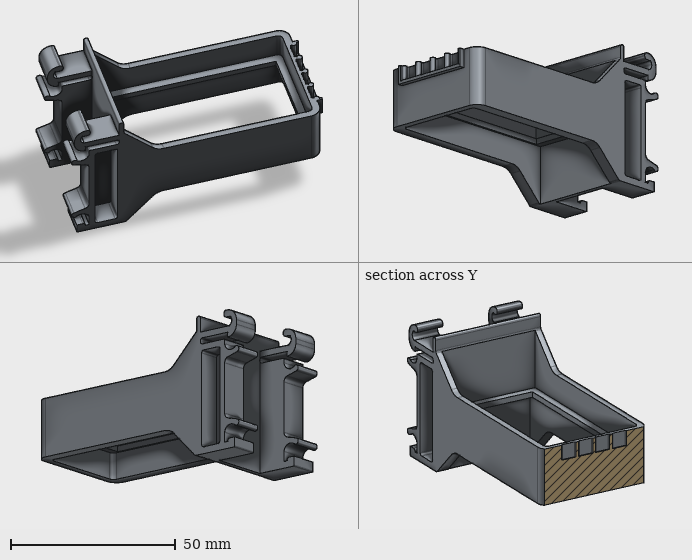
import cadquery as cq
import math

WIDTH = 37.3
HALF_WIDTH = WIDTH / 2
CUT_MARGIN = 1.0

FRAME_REAR = 64.6
FRAME_BOTTOM = 10.0
FRAME_TOP = 28.5
MID_Z = (FRAME_BOTTOM + FRAME_TOP) / 2
FRAME_CORNER_R = 3.5
SIDE_WALL = 2.1
LOWER_SIDE_WALL = 3.9
REAR_WALL = 2.4
RECESS_FRONT = 1.7
RECESS_CORNER_R = 1.5
LEDGE_WIDTH = 2.5
LEDGE_THICKNESS = 1.8

PLATE_THICKNESS = 1.5
PLATE_TOP = 43.7
FLANK_END = 12.1
FLANK_FRAME_R = 5.0
FLANK_PLATE_R = 1.0
FLANK_RISE = FLANK_END - PLATE_THICKNESS
FLANK_TOP = FRAME_TOP + FLANK_RISE
FLANK_FOOT = FLANK_END - FRAME_BOTTOM

LEG_WIDTH = 9.0
LEG_FRONT = -9.5
LEG_TOP = 34.7
LEG_EDGE_R = 0.3
ROOT_OVERLAP = 0.5

SLOT_WIDTH = 1.9
SLOT_END = 0.1
SLOT_CENTRE_Y = SLOT_END - SLOT_WIDTH / 2
ARM_BOTTOM = LEG_TOP + SLOT_WIDTH
ARM_TOP = 38.55
HOOK_EDGE = -10.7
HOOK_FRONT = -14.15
HOOK_LOWER_R = HOOK_EDGE - HOOK_FRONT
HOOK_UPPER_R = 3.7
HOOK_LIP_END = -9.15
HOOK_LIP_THICKNESS = 2.2
HOOK_LIP_R = 1.0
HOOK_BORE_TOP_Y = -11.6
HOOK_BORE_FRONT = -12.25
HOOK_BORE_BOTTOM_Y = -11.1

FINGER_TIP_Y = -14.1
FINGER_TIP_R = 1.0
FINGER_TIP_Z = 30.8
FINGER_SLOPE = math.radians(15)
FINGER_ROOT_R = 1.75
SCOOP_R = 2.2
SCOOP_DEEPEST = 31.0
TIP_CORNER_ANGLE = math.radians(36)

FOOT_FLOOR = 2.2
FOOT_TOP = 3.15
FOOT_FRONT = -13.45
FOOT_STEP_R = 0.8

POCKET_REAR = -0.45
POCKET_FRONT = -7.6
POCKET_BOTTOM = 2.2
POCKET_TOP = 32.7
POCKET_R = 0.8
POCKET_WEB = 1.9

COMB_HALF_WIDTH = 12.9
COMB_REAR = 66.3
COMB_HEIGHT = 5.9
COMB_FLOOR = 1.0
COMB_ROOT = 63.35
COMB_GAP_HALF_WIDTH = 12.1
TOOTH_COUNT = 5
TOOTH_PITCH = 6.0
TOOTH_HEAD_R = 0.85
TOOTH_HEAD_Y = 64.7
TOOTH_NECK = 1.0
TOOTH_ROOT_R = 0.4


def box(x0, x1, y0, y1, z0, z1):
    """Block between two corners."""
    return cq.Workplane("XY").box(x1 - x0, y1 - y0, z1 - z0, centered=False).translate((x0, y0, z0))


def side_extrude(outline, x0, x1):
    """Extrude a closed YZ outline from x0 to x1."""
    return outline.extrude(x1 - x0).translate((x0, 0, 0))


def side_plane():
    return cq.Workplane("YZ")


def near_edges(solid, y, z):
    """Select the X-direction edge that runs through (y, z)."""
    tolerance = 0.01
    corner = (-WIDTH, y - tolerance, z - tolerance)
    opposite = (WIDTH, y + tolerance, z + tolerance)
    return solid.edges("|X").edges(cq.selectors.BoxSelector(corner, opposite))


def body():
    """Plate, flanks and frame as one solid block with its side outline."""
    outline = (
        side_plane()
        .moveTo(0, 0)
        .lineTo(FLANK_FOOT, 0)
        .lineTo(FLANK_END, FRAME_BOTTOM)
        .lineTo(FRAME_REAR, FRAME_BOTTOM)
        .lineTo(FRAME_REAR, FRAME_TOP)
        .lineTo(FLANK_END, FRAME_TOP)
        .lineTo(PLATE_THICKNESS, FLANK_TOP)
        .lineTo(PLATE_THICKNESS, PLATE_TOP - PLATE_THICKNESS / 2)
        .threePointArc((PLATE_THICKNESS / 2, PLATE_TOP), (0, PLATE_TOP - PLATE_THICKNESS / 2))
        .close()
    )
    solid = side_extrude(outline, -HALF_WIDTH, HALF_WIDTH)
    solid = near_edges(solid, FLANK_END, FRAME_BOTTOM).fillet(FLANK_FRAME_R)
    solid = near_edges(solid, FLANK_END, FRAME_TOP).fillet(FLANK_FRAME_R)
    solid = near_edges(solid, PLATE_THICKNESS, FLANK_TOP).fillet(FLANK_PLATE_R)
    solid = near_edges(solid, FLANK_FOOT, 0).fillet(FLANK_PLATE_R)
    return solid.edges("|Z and >Y").fillet(FRAME_CORNER_R)


def frame_opening():
    """Recesses above and below the ledge, and the smaller window through the ledge."""
    half_x = HALF_WIDTH - SIDE_WALL
    lower_half_x = HALF_WIDTH - LOWER_SIDE_WALL
    front = RECESS_FRONT
    rear = FRAME_REAR - REAR_WALL
    ledge_bottom = MID_Z - LEDGE_THICKNESS / 2
    ledge_top = MID_Z + LEDGE_THICKNESS / 2
    lower = box(-lower_half_x, lower_half_x, front, rear, -CUT_MARGIN, ledge_bottom)
    upper = box(-half_x, half_x, front, rear, ledge_top, PLATE_TOP + CUT_MARGIN)
    lower = lower.edges("|Z and >Y").fillet(RECESS_CORNER_R)
    upper = upper.edges("|Z and >Y").fillet(RECESS_CORNER_R)
    window_x = half_x - LEDGE_WIDTH
    window = box(-window_x, window_x, front + LEDGE_WIDTH, rear - LEDGE_WIDTH, ledge_bottom, ledge_top)
    return lower.union(window).union(upper)


def finger(x0, x1):
    """Upper finger, rooted in the leg front."""
    cos_slope = math.cos(FINGER_SLOPE)
    sin_slope = math.sin(FINGER_SLOPE)
    under_y = FINGER_TIP_Y - FINGER_TIP_R * sin_slope
    under_z = FINGER_TIP_Z - FINGER_TIP_R * cos_slope
    root_z = under_z - (LEG_FRONT - under_y) * math.tan(FINGER_SLOPE)
    corner_y = FINGER_TIP_Y + FINGER_TIP_R * math.cos(TIP_CORNER_ANGLE)
    corner_z = FINGER_TIP_Z + FINGER_TIP_R * math.sin(TIP_CORNER_ANGLE)
    inside = LEG_FRONT + ROOT_OVERLAP
    below_root = root_z - 2 * FINGER_ROOT_R
    outline = (
        side_plane()
        .moveTo(inside, SCOOP_DEEPEST + SCOOP_R)
        .lineTo(LEG_FRONT, SCOOP_DEEPEST + SCOOP_R)
        .threePointArc((LEG_FRONT - SCOOP_R, SCOOP_DEEPEST), (corner_y, corner_z))
        .threePointArc((FINGER_TIP_Y - FINGER_TIP_R, FINGER_TIP_Z), (under_y, under_z))
        .lineTo(LEG_FRONT, root_z)
        .lineTo(LEG_FRONT, below_root)
        .lineTo(inside, below_root)
        .close()
    )
    solid = side_extrude(outline, x0, x1)
    return near_edges(solid, LEG_FRONT, root_z).fillet(FINGER_ROOT_R)


def hooked_arm(x0, x1):
    """Spring arm from the plate, ending in a hook that curls back over it."""
    upper_centre_y = HOOK_FRONT + HOOK_UPPER_R
    upper_centre_z = PLATE_TOP - HOOK_UPPER_R
    lip_bottom = PLATE_TOP - HOOK_LIP_THICKNESS
    diagonal = math.sqrt(0.5)
    outline = (
        side_plane()
        .moveTo(ROOT_OVERLAP, ARM_BOTTOM)
        .lineTo(HOOK_EDGE, ARM_BOTTOM)
        .lineTo(HOOK_EDGE, ARM_TOP - HOOK_LOWER_R)
        .threePointArc(
            (HOOK_EDGE - HOOK_LOWER_R * diagonal, ARM_TOP - HOOK_LOWER_R * diagonal),
            (HOOK_FRONT, ARM_TOP),
        )
        .lineTo(HOOK_FRONT, upper_centre_z)
        .threePointArc(
            (upper_centre_y - HOOK_UPPER_R * diagonal, upper_centre_z + HOOK_UPPER_R * diagonal),
            (upper_centre_y, PLATE_TOP),
        )
        .lineTo(HOOK_LIP_END, PLATE_TOP)
        .lineTo(HOOK_LIP_END, lip_bottom)
        .lineTo(HOOK_BORE_TOP_Y, lip_bottom)
        .threePointArc((HOOK_BORE_FRONT, (lip_bottom + ARM_TOP) / 2), (HOOK_BORE_BOTTOM_Y, ARM_TOP))
        .lineTo(ROOT_OVERLAP, ARM_TOP)
        .close()
    )
    solid = side_extrude(outline, x0, x1)
    solid = near_edges(solid, HOOK_LIP_END, PLATE_TOP).fillet(HOOK_LIP_R)
    return near_edges(solid, HOOK_LIP_END, lip_bottom).fillet(HOOK_LIP_R)


def leg_block(x0, x1):
    """Leg with its foot, before fingers and pocket."""
    outline = (
        side_plane()
        .moveTo(ROOT_OVERLAP, 0)
        .lineTo(FOOT_FRONT, 0)
        .lineTo(FOOT_FRONT, FOOT_TOP)
        .lineTo(HOOK_EDGE, FOOT_TOP)
        .lineTo(HOOK_EDGE, FOOT_FLOOR)
        .lineTo(LEG_FRONT, FOOT_FLOOR)
        .lineTo(LEG_FRONT, LEG_TOP)
        .lineTo(ROOT_OVERLAP, LEG_TOP)
        .close()
    )
    solid = side_extrude(outline, x0, x1)
    solid = near_edges(solid, FOOT_FRONT, 0).fillet(LEG_EDGE_R)
    solid = near_edges(solid, LEG_FRONT, LEG_TOP).fillet(LEG_EDGE_R)
    return near_edges(solid, HOOK_EDGE, FOOT_TOP).fillet(FOOT_STEP_R)


def leg():
    """Complete leg on the -X side, with the pocket open to -X."""
    x0 = -HALF_WIDTH
    x1 = x0 + LEG_WIDTH
    upper_finger = finger(x0, x1)
    lower_finger = upper_finger.mirror("XY", (0, 0, MID_Z))
    slot_root = box(x0, x1, SLOT_CENTRE_Y, ROOT_OVERLAP, LEG_TOP, ARM_BOTTOM)
    solid = leg_block(x0, x1).union(slot_root).union(hooked_arm(x0, x1))
    solid = solid.union(upper_finger).union(lower_finger)
    pocket = box(x0 - CUT_MARGIN, x1 - POCKET_WEB, POCKET_FRONT, POCKET_REAR, POCKET_BOTTOM, POCKET_TOP)
    return solid.cut(pocket.edges("|X").fillet(POCKET_R))


def slot_end():
    """Round inner end of the slot between the arm and the leg on the -X side."""
    outline = side_plane().center(SLOT_CENTRE_Y, LEG_TOP + SLOT_WIDTH / 2).circle(SLOT_WIDTH / 2)
    return side_extrude(outline, -HALF_WIDTH, -HALF_WIDTH + LEG_WIDTH)


def tooth(x, bottom, top):
    """Comb tooth: flared root, narrow neck and round head."""
    half_neck = TOOTH_NECK / 2
    neck_start = COMB_ROOT + TOOTH_ROOT_R
    neck_end = TOOTH_HEAD_Y - math.sqrt(TOOTH_HEAD_R**2 - half_neck**2)
    flare = half_neck + TOOTH_ROOT_R
    flare_mid = TOOTH_ROOT_R * (1 - math.sqrt(0.5))
    return (
        cq.Workplane("XY", origin=(x, 0, bottom))
        .moveTo(-flare, COMB_ROOT)
        .threePointArc((-half_neck - flare_mid, COMB_ROOT + flare_mid), (-half_neck, neck_start))
        .lineTo(-half_neck, neck_end)
        .threePointArc((0, TOOTH_HEAD_Y + TOOTH_HEAD_R), (half_neck, neck_end))
        .lineTo(half_neck, neck_start)
        .threePointArc((half_neck + flare_mid, COMB_ROOT + flare_mid), (flare, COMB_ROOT))
        .close()
        .extrude(top - bottom)
    )


def add_comb(solid):
    """Add the comb block, hollow it above its floor, and stand the teeth in the hollow."""
    bottom = FRAME_TOP - COMB_HEIGHT
    floor = bottom + COMB_FLOOR
    inside = FRAME_REAR - REAR_WALL / 2
    solid = solid.union(box(-COMB_HALF_WIDTH, COMB_HALF_WIDTH, inside, COMB_REAR, bottom, FRAME_TOP))
    solid = solid.cut(
        box(
            -COMB_GAP_HALF_WIDTH,
            COMB_GAP_HALF_WIDTH,
            COMB_ROOT,
            COMB_REAR + CUT_MARGIN,
            floor,
            FRAME_TOP + CUT_MARGIN,
        )
    )
    for index in range(TOOTH_COUNT):
        x = (index - (TOOTH_COUNT - 1) / 2) * TOOTH_PITCH
        solid = solid.union(tooth(x, floor, FRAME_TOP))
    return solid


left_leg = leg()
left_slot_end = slot_end()
result = body().cut(frame_opening())
result = result.union(left_leg).union(left_leg.mirror("YZ"))
result = result.cut(left_slot_end).cut(left_slot_end.mirror("YZ"))
result = add_comb(result)